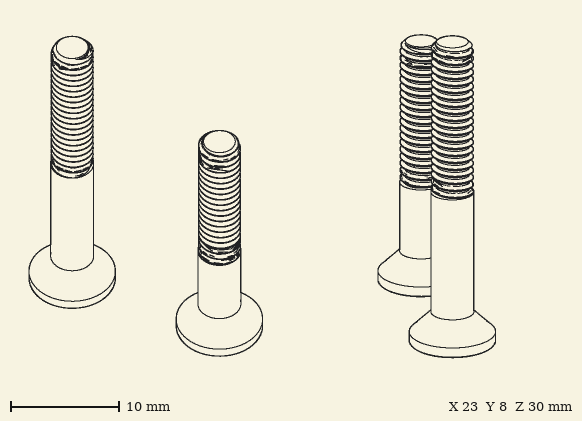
import cadquery as cq
import math

SCREW_SPACING = 15.0
LONG_SCREW = {"length": 30.0, "grip": 15.0, "first_crest": 0.55}
SHORT_SCREW = {"length": 24.0, "grip": 9.9, "first_crest": 0.63}

HEAD_DIAMETER = 8.0
HEAD_HEIGHT = 3.0
HEAD_RIM_HEIGHT = 1.02
HEAD_EDGE_CHAMFER = 0.1
SHANK_DIAMETER = 4.0

THREAD_DIAMETER = 3.9
ROOT_DIAMETER = 3.12
PITCH = 2.1 / 3
CREST_WIDTH = PITCH / 8
FLANK_ANGLE = 30.0
TIP_CHAMFER = 0.48
RIDGE_OVERLAP = 0.05

HEAD_RADIUS = HEAD_DIAMETER / 2
SHANK_RADIUS = SHANK_DIAMETER / 2
THREAD_RADIUS = THREAD_DIAMETER / 2
ROOT_RADIUS = ROOT_DIAMETER / 2


def make_head_and_shank(grip):
    """Countersunk head with a cone rising to the plain shank."""
    return (
        cq.Workplane("XZ")
        .moveTo(0, 0)
        .lineTo(HEAD_RADIUS - HEAD_EDGE_CHAMFER, 0)
        .lineTo(HEAD_RADIUS, HEAD_EDGE_CHAMFER)
        .lineTo(HEAD_RADIUS, HEAD_RIM_HEIGHT)
        .lineTo(SHANK_RADIUS, HEAD_HEIGHT)
        .lineTo(SHANK_RADIUS, grip)
        .lineTo(0, grip)
        .close()
        .revolve(360, (0, 0, 0), (0, 1, 0))
    )


def make_ridge(bottom, height):
    """Helical ridge whose middle starts at the given bottom, on the +X side."""
    inner_radius = ROOT_RADIUS - RIDGE_OVERLAP
    half_crest = CREST_WIDTH / 2
    half_base = half_crest + (THREAD_RADIUS - inner_radius) * math.tan(math.radians(FLANK_ANGLE))
    helix = cq.Wire.makeHelix(PITCH, height, ROOT_RADIUS, lefthand=True)
    ridge = (
        cq.Workplane("XZ")
        .polyline([
            (inner_radius, -half_base),
            (THREAD_RADIUS, -half_crest),
            (THREAD_RADIUS, half_crest),
            (inner_radius, half_base),
        ])
        .close()
        .sweep(cq.Workplane(obj=helix), isFrenet=True)
    )
    return ridge.translate((0, 0, bottom))


def make_threaded_rod(length, grip, first_crest):
    """Threaded rod with a chamfered tip, reaching below the shank's upper end."""
    ridge_bottom = grip + first_crest - 2 * PITCH
    ridge_top = length + PITCH
    rod_bottom = ridge_bottom - PITCH
    rod_top = ridge_top + PITCH

    core = cq.Workplane("XY", (0, 0, rod_bottom)).circle(ROOT_RADIUS).extrude(rod_top - rod_bottom)
    rod = core.union(make_ridge(ridge_bottom, ridge_top - ridge_bottom))

    tip_radius = THREAD_RADIUS - TIP_CHAMFER
    envelope = (
        cq.Workplane("XY", (0, 0, rod_bottom))
        .circle(SHANK_RADIUS)
        .extrude(length - rod_bottom)
        .faces(">Z")
        .chamfer(SHANK_RADIUS - tip_radius)
    )
    return rod.intersect(envelope)


def make_screw(length, grip, first_crest):
    """Complete screw, standing on its head at the origin."""
    return make_head_and_shank(grip).union(make_threaded_rod(length, grip, first_crest)).solids()


long_screw = make_screw(**LONG_SCREW)
short_screw = make_screw(**SHORT_SCREW).translate((SCREW_SPACING, 0, 0))

result = cq.Compound.makeCompound([long_screw.val(), short_screw.val()])